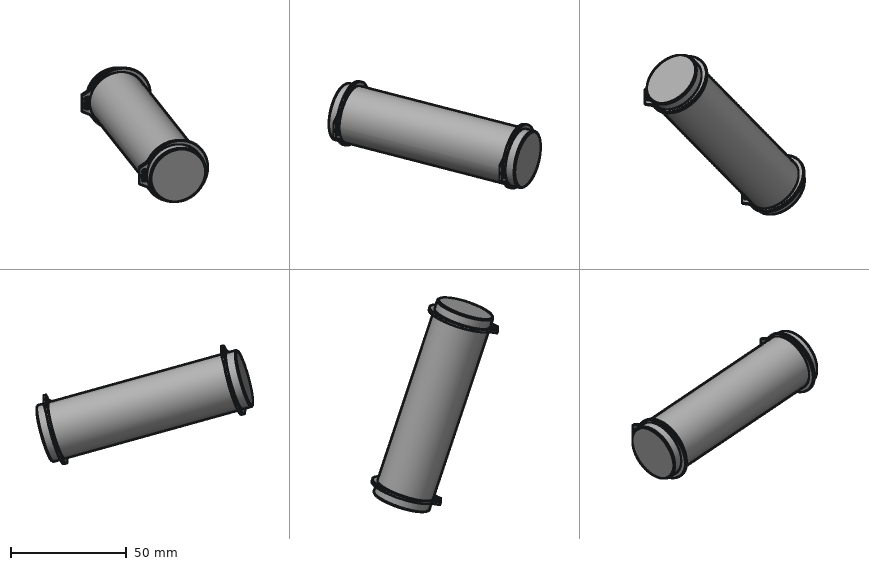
import cadquery as cq
import math

PIN_LENGTH = 90.5
PIN_DIAMETER = 25.4
PIN_CHAMFER = 0.5

RING_DIAMETER = 28.4
RING_WIDTH = 1.2
RING_END_DISTANCE = 4.4
RING_TOTAL_DEPTH = 31.0
RING_OFFSET = 0.7

LUG_TIP_HALF_HEIGHT = 3.8
LUG_ROOT_HALF_HEIGHT = 7.5
LUG_NECK_Y = -12.4
LUG_NECK_HALF_HEIGHT = 5.9
LUG_NECK_RADIUS = 1.4
NECK_SELECT_MARGIN = 0.45
LUG_GAP = 0.7
LUG_HOLE_DIAMETER = 2.0
LUG_HOLE_Y = -13.9
LUG_HOLE_SPACING = 3.9

ring_radius = RING_DIAMETER / 2
lug_tip_y = RING_OFFSET + ring_radius - RING_TOTAL_DEPTH
lug_root_y = RING_OFFSET - math.sqrt(ring_radius**2 - LUG_ROOT_HALF_HEIGHT**2)


def make_pin():
    """Solid round pin with both ends chamfered."""
    pin = cq.Workplane("YZ").circle(PIN_DIAMETER / 2).extrude(PIN_LENGTH / 2, both=True)
    return pin.faces("<X or >X").chamfer(PIN_CHAMFER)


def make_ring(start_x):
    """Retaining ring, filled in to the pin axis, with two drilled lugs and a gap between them."""
    plane = cq.Workplane("YZ", origin=(start_x, 0, 0))
    disc = plane.center(RING_OFFSET, 0).circle(ring_radius).extrude(RING_WIDTH)
    lugs = (
        plane.moveTo(lug_root_y, LUG_ROOT_HALF_HEIGHT)
        .lineTo(LUG_NECK_Y, LUG_NECK_HALF_HEIGHT)
        .lineTo(lug_tip_y, LUG_TIP_HALF_HEIGHT)
        .lineTo(lug_tip_y, -LUG_TIP_HALF_HEIGHT)
        .lineTo(LUG_NECK_Y, -LUG_NECK_HALF_HEIGHT)
        .lineTo(lug_root_y, -LUG_ROOT_HALF_HEIGHT)
        .close()
        .extrude(RING_WIDTH)
    )
    neck_edges = cq.selectors.BoxSelector(
        (start_x, LUG_NECK_Y - NECK_SELECT_MARGIN, -LUG_ROOT_HALF_HEIGHT),
        (start_x + RING_WIDTH, LUG_NECK_Y + NECK_SELECT_MARGIN, LUG_ROOT_HALF_HEIGHT),
    )
    lugs = lugs.edges("|X").edges(neck_edges).fillet(LUG_NECK_RADIUS)
    gap = plane.center(lug_tip_y / 2, 0).rect(-lug_tip_y, LUG_GAP).extrude(RING_WIDTH)
    holes = (
        plane.pushPoints([(LUG_HOLE_Y, side * LUG_HOLE_SPACING / 2) for side in (-1, 1)])
        .circle(LUG_HOLE_DIAMETER / 2)
        .extrude(RING_WIDTH)
    )
    return disc.union(lugs).cut(gap).cut(holes)


left_ring_x = -PIN_LENGTH / 2 + RING_END_DISTANCE
right_ring_x = -left_ring_x - RING_WIDTH
result = make_pin()
for ring_x in (left_ring_x, right_ring_x):
    result = result.union(make_ring(ring_x))